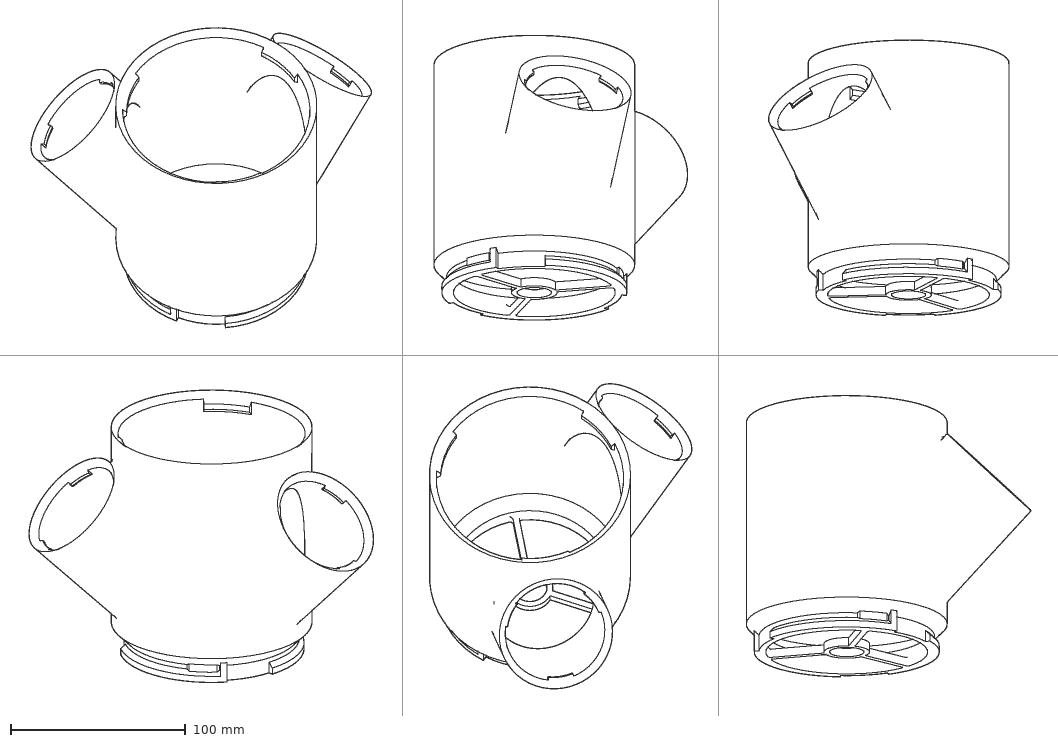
import cadquery as cq
import math

wall = 4.0

body_radius = 57.6
body_height = 136.5

neck_radius = 50.3
neck_height = 9.3

lock_count = 3
flange_radius = 53.0
flange_rim_height = 3.8
flange_start_angle = -39
stop_start_angle = 45.7
stop_end_angle = 49.8
detent_start_angle = 23.9
detent_end_angle = 45.2
detent_ramp_angle = 1.6
detent_rise = 0.9

branch_radius = 32.7
branch_tilt = 45
branch_origin_height = 14.7
branch_length = 120.6
branch_start = 27.3
branch_angles = [90, 210]
blend_radius = 2.4

tab_angle = 30
body_tab_depth = 2.2
body_tab_tip_height = 3.3
branch_tab_depth = 1.3
branch_tab_tip_height = 1.6
body_first_tab_angle = 90
branch_first_tab_angle = 0

hub_radius = 13.0
hub_hole_radius = 9.8
spider_height = 4.9
spoke_width = 3.6
spoke_angles = [30, 150, 270]
spoke_fillet = 1.8

body_bore_radius = body_radius - wall
branch_bore_radius = branch_radius - wall
neck_bore_radius = neck_radius - wall
neck_root_radius = neck_radius - wall / 2
shoulder_height = neck_height + body_radius - neck_radius
flange_height = flange_rim_height + flange_radius - neck_radius
stop_height = neck_height + flange_radius - neck_radius
detent_radius = neck_radius + detent_rise
detent_top = neck_height + 2 * detent_rise
inner_cone_lift = wall * math.tan(math.radians(45 / 2))
edge_tolerance = wall / 4
lock_spacing = 360 / lock_count


def revolve_profile(profile, start_angle=0, sweep=360):
    """Revolve an (r, z) profile about Z, starting at a compass angle."""
    sector = cq.Workplane("XZ").polyline(profile).close().revolve(sweep, (0, 0, 0), (0, 1, 0))
    return sector.rotate((0, 0, 0), (0, 0, 1), start_angle)


def around_axis(feature):
    """Repeat a feature evenly about Z."""
    copies = feature
    for i in range(1, lock_count):
        copies = copies.union(feature.rotate((0, 0, 0), (0, 0, 1), i * lock_spacing))
    return copies


def place_on_branch(shape, branch_angle):
    """Move a shape built along Z onto the axis of a side tube."""
    tilted = shape.rotate((0, 0, 0), (0, 1, 0), branch_tilt)
    turned = tilted.rotate((0, 0, 0), (0, 0, 1), branch_angle)
    return turned.translate((0, 0, branch_origin_height))


def branch_cylinder(radius):
    """Round bar along Z, from inside the main bore to the rim of a side tube."""
    bar = cq.Workplane("XY", origin=(0, 0, branch_start)).circle(radius)
    return bar.extrude(branch_length - branch_start)


def distance_from_axis(edge):
    """Distance from the main axis to the start of an edge."""
    start = edge.positionAt(0)
    return math.hypot(start.x, start.y)


def shape_mouth(tube, bore_radius, rim_height, tab_depth, tip_height, tab_middle_angle, branch_angle=None):
    """Give a tube a 45 degree funnel that runs out to a sharp rim, with tabs standing in from the bore."""
    tip_radius = bore_radius - tab_depth
    root_radius = bore_radius + wall / 2
    flare_depth = wall + tab_depth
    tip_bottom = rim_height - flare_depth - tip_height
    tab = revolve_profile([
        (tip_radius, tip_bottom),
        (root_radius, tip_bottom - (root_radius - tip_radius)),
        (root_radius, rim_height),
        (tip_radius, rim_height),
    ], tab_middle_angle - tab_angle / 2, tab_angle)
    flare = revolve_profile([
        (0, rim_height - flare_depth),
        (tip_radius, rim_height - flare_depth),
        (bore_radius + wall, rim_height),
        (0, rim_height),
    ])
    tabs = around_axis(tab)
    if branch_angle is not None:
        tabs = place_on_branch(tabs, branch_angle)
        flare = place_on_branch(flare, branch_angle)
    return tube.union(tabs).cut(flare)


def detent():
    """Low bump on the spigot with a ramp at each end."""
    def point(radius, angle):
        turn = math.radians(angle)
        return (radius * math.cos(turn), radius * math.sin(turn))

    middle_angle = (detent_start_angle + detent_end_angle) / 2
    outline = (
        cq.Workplane("XY", origin=(0, 0, flange_rim_height))
        .moveTo(*point(neck_root_radius, detent_start_angle))
        .lineTo(*point(neck_radius, detent_start_angle))
        .lineTo(*point(detent_radius, detent_start_angle + detent_ramp_angle))
        .threePointArc(point(detent_radius, middle_angle),
                       point(detent_radius, detent_end_angle - detent_ramp_angle))
        .lineTo(*point(neck_radius, detent_end_angle))
        .lineTo(*point(neck_root_radius, detent_end_angle))
        .threePointArc(point(neck_root_radius, middle_angle),
                       point(neck_root_radius, detent_start_angle))
        .close()
    )
    return outline.extrude(detent_top - flange_rim_height)


def blend_joints(shape, tube_radius):
    """Fillet the curves where the side tubes meet the wall of the main tube."""
    joints = [
        edge for edge in shape.edges().vals()
        if edge.geomType() not in ("LINE", "CIRCLE")
        and abs(distance_from_axis(edge) - tube_radius) < edge_tolerance
    ]
    return shape.newObject(joints).fillet(blend_radius)


part = revolve_profile([
    (0, 0),
    (neck_radius, 0),
    (neck_radius, neck_height),
    (body_radius, shoulder_height),
    (body_radius, body_height),
    (0, body_height),
])
for angle in branch_angles:
    part = part.union(place_on_branch(branch_cylinder(branch_radius), angle))
part = blend_joints(part, body_radius)

part = part.cut(revolve_profile([
    (0, 0),
    (neck_bore_radius, 0),
    (neck_bore_radius, neck_height + inner_cone_lift),
    (body_bore_radius, shoulder_height + inner_cone_lift),
    (body_bore_radius, body_height),
    (0, body_height),
]))
for angle in branch_angles:
    part = part.cut(place_on_branch(branch_cylinder(branch_bore_radius), angle))
part = blend_joints(part, body_bore_radius)

part = shape_mouth(part, body_bore_radius, body_height, body_tab_depth, body_tab_tip_height,
                   body_first_tab_angle)
for angle in branch_angles:
    part = shape_mouth(part, branch_bore_radius, branch_length, branch_tab_depth, branch_tab_tip_height,
                       branch_first_tab_angle, angle)

flange = revolve_profile([
    (neck_root_radius, 0),
    (flange_radius, 0),
    (flange_radius, flange_rim_height),
    (neck_radius, flange_height),
    (neck_root_radius, flange_height),
], flange_start_angle, stop_end_angle - flange_start_angle)
stop = revolve_profile([
    (neck_root_radius, 0),
    (flange_radius, 0),
    (flange_radius, stop_height),
    (neck_root_radius, stop_height),
], stop_start_angle, stop_end_angle - stop_start_angle)
part = part.union(around_axis(flange.union(stop).union(detent())))

spider = cq.Workplane("XY").circle(hub_radius).extrude(spider_height)
for angle in spoke_angles:
    spoke = cq.Workplane("XY").box(
        neck_root_radius, spoke_width, spider_height, centered=(False, True, False))
    spider = spider.union(spoke.rotate((0, 0, 0), (0, 0, 1), angle))
spider = spider.cut(cq.Workplane("XY").circle(hub_hole_radius).extrude(spider_height))
part = part.union(spider)

spoke_ends = [
    edge for edge in part.edges().vals()
    if abs(distance_from_axis(edge) - neck_bore_radius) < edge_tolerance
    and 0 < edge.Center().z < spider_height + edge_tolerance
    and edge.Length() < neck_height
]
result = part.newObject(spoke_ends).fillet(spoke_fillet)